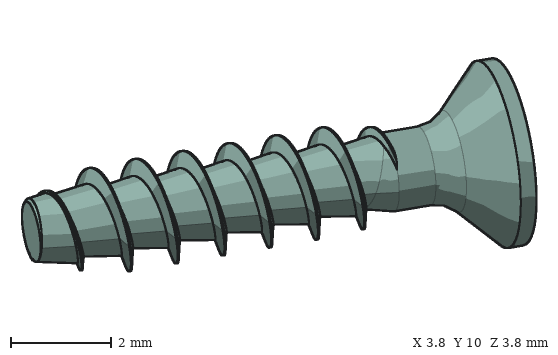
import math

import cadquery as cq

screw_length = 10.0
head_radius = 1.9
head_rim_depth = 0.34
head_edge_radius = 0.03

shank_radius = 0.8
shank_end_y = -2.54
neck_fillet_radius = 0.8
lead_cone_length = 0.6

core_large_radius = 0.77
core_small_radius = 0.66
tip_face_radius = 0.62

pitch = 0.98
crest_radius = 1.1
crest_width = 0.03
flank_angle = 17.0
thread_start_y = -2.4
lead_in_end_turn = 1.1
lead_in_growth = 0.2
run_out_start_turn = 6.25
run_out_loss = 0.3
faded_crest_radius = 0.645
least_thread_height = 0.05
points_per_turn = 24

first_turn = -1
end_turn = math.ceil((screw_length + thread_start_y) / pitch) + 1


def make_head_and_shank():
    """Countersunk 45 degree head, filleted neck, plain shank and the cone leading to the core."""
    neck_y = -head_rim_depth - (head_radius - shank_radius)
    half_profile = (
        cq.Workplane("XY")
        .lineTo(head_radius, 0)
        .lineTo(head_radius, -head_rim_depth)
        .lineTo(shank_radius, neck_y)
        .lineTo(shank_radius, shank_end_y)
        .lineTo(core_small_radius, shank_end_y - lead_cone_length)
        .lineTo(0, shank_end_y - lead_cone_length)
        .close()
    )
    body = half_profile.revolve(360, (0, 0, 0), (0, 1, 0))
    neck_edge = cq.selectors.BoxSelector(
        (-head_radius, neck_y - head_edge_radius, -head_radius),
        (head_radius, neck_y + head_edge_radius, head_radius),
    )
    body = body.edges(neck_edge).fillet(neck_fillet_radius)
    return body.faces(">Y").edges().fillet(head_edge_radius)


def crest_radius_at(turn):
    """Crest radius, growing along the lead-in and shrinking along the run-out."""
    lead_in = crest_radius - lead_in_growth * (lead_in_end_turn - turn)
    run_out = crest_radius - run_out_loss * (turn - run_out_start_turn)
    return max(faded_crest_radius, min(crest_radius, lead_in, run_out))


def thread_point(turn, corner):
    """One corner of the thread: 0 upper foot, 1 upper crest, 2 lower crest, 3 lower foot."""
    crest = crest_radius_at(turn)
    highest_foot = crest - least_thread_height
    upper_foot = min(core_small_radius, highest_foot)
    lower_foot = min(core_large_radius, highest_foot)
    radius = (upper_foot, crest, crest, lower_foot)[corner]
    side = (1, 1, -1, -1)[corner]
    half_width = crest_width / 2 + (crest - radius) * math.tan(math.radians(flank_angle))
    angle = 2 * math.pi * turn
    y = thread_start_y - pitch * turn + side * half_width
    return cq.Vector(radius * math.cos(angle), y, radius * math.sin(angle))


def thread_edge(turn, corner):
    """Helical edge that a thread corner follows over one turn."""
    steps = range(points_per_turn + 1)
    return cq.Edge.makeSpline([thread_point(turn + i / points_per_turn, corner) for i in steps])


def on_axis(point):
    """Point on the screw axis level with the given point."""
    return cq.Vector(0, point.y, 0)


def make_end_faces(edge, profile):
    """Helicoid from a one-turn foot edge to the axis, and the flat step beside it."""
    top = on_axis(edge.startPoint())
    bottom = on_axis(edge.endPoint())
    helicoid = cq.Face.makeRuledSurface(edge, cq.Edge.makeLine(top, bottom))
    step = cq.Face.makeFromWires(cq.Wire.makePolygon([top, *profile, bottom], close=True))
    return [helicoid, step]


def make_threaded_rod():
    """Core and thread as one closed shell, trimmed between the shank end and the tip."""
    corners = range(4)
    edges = {t: [thread_edge(t, c) for c in corners] for t in range(first_turn, end_turn)}
    foot_after_end = thread_edge(end_turn, 0)
    faces = []
    for turn, strip in edges.items():
        next_foot = edges[turn + 1][0] if turn + 1 in edges else foot_after_end
        outline = [*strip, next_foot]
        faces += [cq.Face.makeRuledSurface(a, b) for a, b in zip(outline, outline[1:])]
    for turn, foot in ((first_turn, edges[first_turn][0]), (end_turn, foot_after_end)):
        profile = [thread_point(turn, c) for c in corners] + [thread_point(turn + 1, 0)]
        faces += make_end_faces(foot, profile)
    rod = cq.Solid.makeSolid(cq.Shell.makeShell(faces)).fix()
    length = screw_length + shank_end_y
    limits = cq.Workplane("XZ", origin=(0, shank_end_y, 0)).circle(head_radius).extrude(length)
    limits = limits.faces("<Y").chamfer(head_radius - tip_face_radius)
    return limits.intersect(cq.Workplane(rod))


result = make_head_and_shank().union(make_threaded_rod())